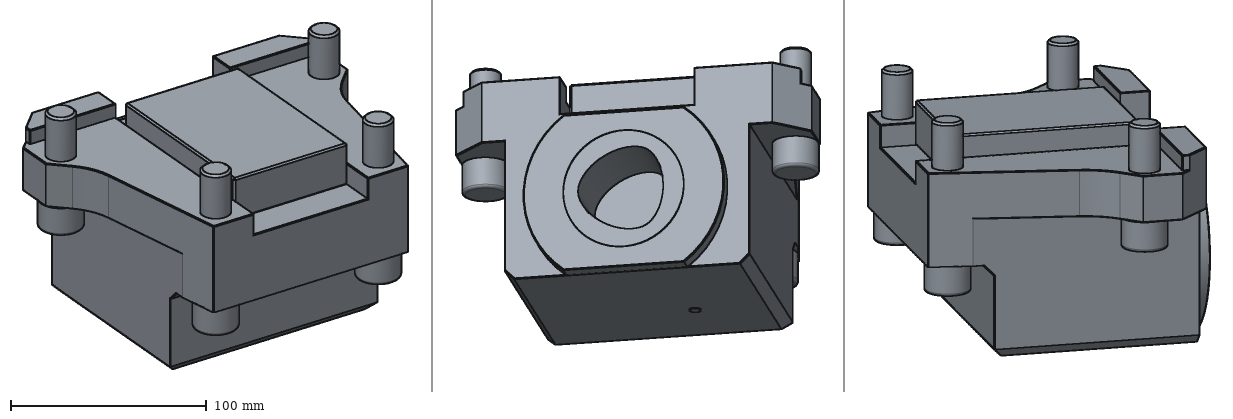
import cadquery as cq
import math


edge_break = 0.5

housing_half_width = 64.0
housing_bottom_z = -42.0
housing_length = 109.0
housing_edge_chamfer = 5.0
rear_step_chamfer = 6.0
rear_underside_z = 8.1

plate_length = 143.0
plate_half_width = 93.0
plate_rear_half_width = 60.0
plate_top_z = 58.0
plate_thickness = 25.0
plate_front_chamfer = 17.0
plate_wing_end_x = 38.0
plate_taper_angle = 10.0
plate_inner_corner_radius = 35.0

lip_length = 16.0
lip_height = 8.0
lip_half_width = 88.0

keyway_width = 70.0
keyway_depth = 12.0
key_start_x = 24.0
key_length = 100.5
key_height = 24.0
key_chamfer = 1.0

flange_diameter = 105.0
flange_thickness = 8.5
sleeve_diameter = 63.0
sleeve_protrusion = 0.49

socket_mean_diameter = 44.5
socket_lobe_height = 1.5
socket_depth = 38.0
socket_taper_ratio = 20.0
socket_curve_points = 36

shank_diameter = 16.0
shank_protrusion = 25.0
shank_chamfer = 1.25
head_diameter = 24.0
head_height = 16.0
head_fillet = 1.6
front_screw_x = 34.0
front_screw_y = 81.0
rear_screw_x = 130.0
rear_screw_y = 50.0

plug_diameter = 6.0
plug_protrusion = 0.49
plug_embedment = 1.0
plug_x = 65.0
plug_y = -22.0

plate_bottom_z = plate_top_z - plate_thickness
lip_top_z = plate_top_z + lip_height
keyway_floor_z = plate_top_z - keyway_depth
sleeve_front_x = -flange_thickness - sleeve_protrusion


def plan_prism(bottom_z, top_z):
    """Plate outline seen along Z: chamfered front wings blending into tapering sides."""
    taper = math.tan(math.radians(plate_taper_angle))
    corner_x = (
        plate_half_width + plate_wing_end_x - plate_rear_half_width - plate_length * taper
    ) / (1 - taper)
    corner_y = plate_half_width + plate_wing_end_x - corner_x
    side = [
        (0, plate_half_width - plate_front_chamfer),
        (plate_front_chamfer, plate_half_width),
        (plate_wing_end_x, plate_half_width),
        (corner_x, corner_y),
        (plate_length, plate_rear_half_width),
    ]
    mirrored_side = [(x, -y) for x, y in reversed(side)]
    prism = (
        cq.Workplane("XY")
        .workplane(offset=bottom_z)
        .polyline(side + mirrored_side)
        .close()
        .extrude(top_z - bottom_z)
    )
    margin = 1.0
    inner_corners = cq.selectors.BoxSelector(
        (corner_x - margin, -plate_half_width, bottom_z),
        (corner_x + margin, plate_half_width, top_z),
    )
    return prism.edges("|Z").edges(inner_corners).fillet(plate_inner_corner_radius)


def make_housing():
    """Housing block, stepped up at the rear and trimmed to the plate outline."""
    housing_top_z = plate_bottom_z + 2 * edge_break
    block = (
        cq.Workplane("XZ")
        .moveTo(0, housing_bottom_z)
        .lineTo(housing_length, housing_bottom_z)
        .lineTo(housing_length, rear_underside_z - rear_step_chamfer)
        .lineTo(housing_length + rear_step_chamfer, rear_underside_z)
        .lineTo(plate_length, rear_underside_z)
        .lineTo(plate_length, housing_top_z)
        .lineTo(0, housing_top_z)
        .close()
        .extrude(housing_half_width, both=True)
    )
    bottom_side_and_rear_edges = block.faces("<Z").edges("|X or >X")
    block = bottom_side_and_rear_edges.chamfer(housing_edge_chamfer)
    block = block.faces("<X").edges().chamfer(edge_break)
    rear_wall_edges = cq.selectors.BoxSelector(
        (housing_length - edge_break, -2 * housing_half_width, housing_bottom_z),
        (housing_length + rear_step_chamfer, 2 * housing_half_width, rear_underside_z),
    )
    block = block.edges("not |Y").edges(rear_wall_edges).chamfer(edge_break)
    trimmed = block.intersect(plan_prism(housing_bottom_z, housing_top_z))
    return trimmed.faces(">X").edges("|Z").chamfer(edge_break)


def make_plate():
    """Mounting plate with the raised locating lip at its front."""
    plate = plan_prism(plate_bottom_z, plate_top_z)
    plate = plate.faces(">X").edges("|Z").chamfer(edge_break)
    plate = plate.faces("<Z or >Z").edges().chamfer(edge_break)

    lip_bottom_z = plate_top_z - lip_height
    lip_envelope = (
        cq.Workplane("XY")
        .workplane(offset=lip_bottom_z)
        .box(lip_length, 2 * lip_half_width, lip_top_z - lip_bottom_z, centered=(False, True, False))
    )
    lip = plan_prism(lip_bottom_z, lip_top_z).intersect(lip_envelope)
    lip = lip.faces(">X").edges("|Z").chamfer(edge_break)
    lip = lip.faces(">Z").edges().chamfer(edge_break)
    return plate.union(lip)


def make_keyway():
    """Through slot along X, flared at the plate top, the lip top and both ends to break its rims."""
    half_width = keyway_width / 2
    mouth_half_width = half_width + edge_break

    def flared_slot(start_x, end_x, rim_z):
        return (
            cq.Workplane("YZ")
            .workplane(offset=start_x)
            .moveTo(-half_width, keyway_floor_z)
            .lineTo(half_width, keyway_floor_z)
            .lineTo(half_width, rim_z - edge_break)
            .lineTo(mouth_half_width, rim_z)
            .lineTo(-mouth_half_width, rim_z)
            .lineTo(-half_width, rim_z - edge_break)
            .close()
            .extrude(end_x - start_x)
        )

    mouth_height = 2 * (lip_top_z - keyway_floor_z)
    mouth = (
        cq.Workplane("YZ")
        .center(0, keyway_floor_z - edge_break + mouth_height / 2)
        .rect(2 * mouth_half_width, mouth_height)
        .extrude(edge_break, taper=45)
    )
    rear_mouth = mouth.mirror("YZ").translate((plate_length, 0, 0))
    slot = flared_slot(0, lip_length, lip_top_z).union(flared_slot(lip_length, plate_length, plate_top_z))
    return slot.union(mouth).union(rear_mouth)


def make_key():
    """Key filling the keyway width, chamfered on every edge."""
    key = cq.Workplane("XY").box(
        key_length, keyway_width, key_height, centered=(False, True, False)
    )
    key = key.edges().chamfer(key_chamfer)
    return key.translate((key_start_x, 0, keyway_floor_z))


def make_flange():
    """Round front flange with flats level with the housing bottom, plus the sleeve face."""
    flat_height = -2 * housing_bottom_z
    disc = cq.Workplane("YZ").circle(flange_diameter / 2).extrude(-flange_thickness)
    flats = cq.Workplane("YZ").rect(flange_diameter, flat_height).extrude(-flange_thickness)
    sleeve = cq.Workplane("YZ").circle(sleeve_diameter / 2).extrude(sleeve_front_x)
    flange = disc.intersect(flats).faces("<X").edges().chamfer(edge_break)
    return flange.union(sleeve)


def make_socket():
    """Tapered bore with a constant-width three-lobed section, one lobe toward +Y."""

    def lobed_section(diameter):
        points = []
        for i in range(socket_curve_points):
            t = 2 * math.pi * i / socket_curve_points
            lobe_y = socket_lobe_height * (2 * math.cos(2 * t) - math.cos(4 * t))
            lobe_z = -socket_lobe_height * (2 * math.sin(2 * t) + math.sin(4 * t))
            points.append((diameter / 2 * math.cos(t) + lobe_y, diameter / 2 * math.sin(t) + lobe_z))
        return points

    floor_diameter = socket_mean_diameter - socket_depth / socket_taper_ratio
    return (
        cq.Workplane("YZ")
        .workplane(offset=sleeve_front_x)
        .spline(lobed_section(socket_mean_diameter), periodic=True)
        .close()
        .workplane(offset=socket_depth)
        .spline(lobed_section(floor_diameter), periodic=True)
        .close()
        .loft(combine=True)
    )


def make_screw(x, y, seat_z):
    """Cap screw pointing up, its head hanging below the seat."""
    tip_z = plate_top_z + shank_protrusion
    head = cq.Workplane("XY").circle(head_diameter / 2).extrude(-head_height)
    head = head.faces("<Z").edges().fillet(head_fillet)
    shank = cq.Workplane("XY").circle(shank_diameter / 2).extrude(tip_z - seat_z)
    shank = shank.faces(">Z").edges().chamfer(shank_chamfer)
    return head.union(shank).translate((x, y, seat_z))


def make_plug():
    """Small round plug standing proud of the underside."""
    return (
        cq.Workplane("XY")
        .workplane(offset=housing_bottom_z - plug_protrusion)
        .center(plug_x, plug_y)
        .circle(plug_diameter / 2)
        .extrude(plug_protrusion + plug_embedment)
    )


result = make_housing().union(make_plate()).cut(make_keyway())
result = result.union(make_key()).union(make_flange()).union(make_plug())
for side in (-1, 1):
    result = result.union(make_screw(front_screw_x, side * front_screw_y, plate_bottom_z))
    result = result.union(make_screw(rear_screw_x, side * rear_screw_y, rear_underside_z))
result = result.cut(make_socket())